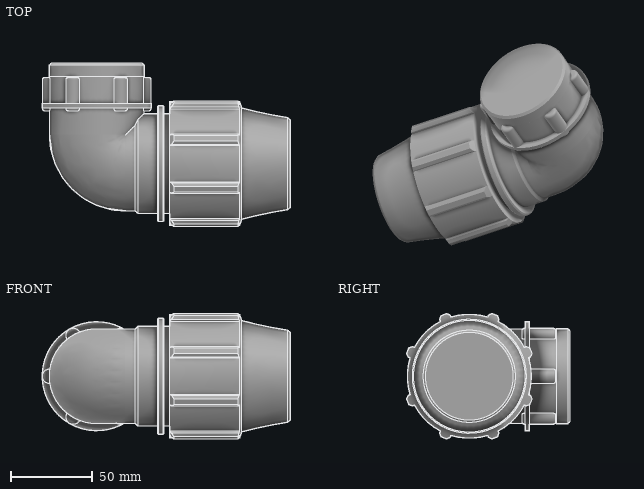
import cadquery as cq
import math


pipe_radius = 58.3 / 2
bend_radius = 17.7

socket_end = 61.9
rim_radius = 29.3
rim_start = 53.5
rim_chamfer = 1.4
rim_back_chamfer = rim_radius - pipe_radius
socket_flange_radius = 67.1 / 2
socket_flange_start = 34.3
socket_flange_width = 2.6
lug_count = 6
lug_radius = 4.4
lug_reach = 33.4
lug_circle_radius = lug_reach - lug_radius
lug_start = 32.3
lug_end = 53.1
lug_fillet = 1.5

body_radius = 61.5 / 2
body_start = 23.6
body_chamfer = body_radius - pipe_radius
collar_radius = 71.4 / 2
collar_start = 37.2
collar_width = 4.3
collar_chamfer = 0.8

nut_radius = 38.1
nut_start = 44.8
nut_end = 88.9
nut_chamfer_length = 1.0
nut_shoulder_radius = 35.1
tail_end = 119.0
tail_start_radius = 34.3
tail_middle_radius = 31.0
tail_end_radius = 28.4
tail_chamfer_length = 1.7
tail_chamfer_depth = 1.4

rib_count = 8
rib_radius = 41.0
rib_top_width = 3.8
rib_width = 7.0
rib_flank_radius = 39.2
rib_root_radius = 36.6
rib_front_ramp = 2.6


def cylinder_x(radius, start, end):
    return cq.Workplane("YZ", origin=(start, 0, 0)).circle(radius).extrude(end - start)


def cylinder_y(radius, start, end):
    return cq.Workplane("XZ", origin=(0, start, 0)).circle(radius).extrude(start - end)


def make_bend():
    """Quarter-turn bend; the pipe section is cut off at the bend axis."""
    chord_half = math.sqrt(pipe_radius**2 - bend_radius**2)
    section = (
        cq.Workplane("YZ", origin=(bend_radius, 0, 0))
        .moveTo(bend_radius, -chord_half)
        .threePointArc((-pipe_radius, 0), (bend_radius, chord_half))
        .close()
    )
    return section.revolve(90, (bend_radius, 0, 0), (bend_radius, -1, 0))


def make_socket():
    pipe = cylinder_y(pipe_radius, bend_radius, socket_end - rim_chamfer)
    rim = (
        cylinder_y(rim_radius, rim_start, socket_end)
        .faces(">Y").chamfer(rim_chamfer)
        .faces("<Y").chamfer(rim_back_chamfer)
    )
    flange = cylinder_y(
        socket_flange_radius, socket_flange_start, socket_flange_start + socket_flange_width
    )
    socket = pipe.union(rim).union(flange)
    lug = (
        cylinder_y(lug_radius, lug_start, lug_end)
        .edges("%CIRCLE").fillet(lug_fillet)
        .translate((lug_circle_radius, 0, 0))
    )
    for i in range(lug_count):
        socket = socket.union(lug.rotate((0, 0, 0), (0, 1, 0), i * 360 / lug_count))
    return socket


def make_body():
    pipe = cylinder_x(pipe_radius, bend_radius, nut_start)
    body = cylinder_x(body_radius, body_start, nut_start).faces("<X").chamfer(body_chamfer)
    collar = (
        cylinder_x(collar_radius, collar_start, collar_start + collar_width)
        .faces("<X or >X").chamfer(collar_chamfer)
    )
    return pipe.union(body).union(collar)


def make_rib():
    """One nut rib on the +Z side, as a plain bar along the whole nut."""
    return (
        cq.Workplane("YZ", origin=(nut_start, 0, 0))
        .polyline([
            (-rib_width / 2, rib_root_radius),
            (rib_width / 2, rib_root_radius),
            (rib_width / 2, rib_flank_radius),
            (rib_top_width / 2, rib_radius),
            (-rib_top_width / 2, rib_radius),
            (-rib_width / 2, rib_flank_radius),
        ])
        .close()
        .extrude(nut_end - nut_start)
    )


def make_nut():
    """Ribbed barrel whose rib ends and back corner are trimmed by shared cones."""
    nut = cylinder_x(nut_radius, nut_start, nut_end)
    rib = make_rib()
    rib_pitch = 360 / rib_count
    for i in range(rib_count):
        nut = nut.union(rib.rotate((0, 0, 0), (1, 0, 0), (i + 0.5) * rib_pitch))

    envelope_radius = rib_radius + rib_top_width
    front_slope = (rib_radius - nut_radius) / rib_front_ramp
    back_slope = (nut_radius - nut_shoulder_radius) / nut_chamfer_length
    front_ramp = (envelope_radius - nut_radius) / front_slope
    back_ramp = (envelope_radius - nut_shoulder_radius) / back_slope
    envelope = (
        cq.Workplane("XY")
        .polyline([
            (nut_start, 0),
            (nut_start, nut_radius),
            (nut_start + front_ramp, envelope_radius),
            (nut_end - back_ramp, envelope_radius),
            (nut_end, nut_shoulder_radius),
            (nut_end, 0),
        ])
        .close()
        .revolve(360, (0, 0, 0), (1, 0, 0))
    )
    return nut.intersect(envelope)


def make_tail():
    """Tapered tail behind the nut, revolved about the X axis."""
    tail_edge = tail_end - tail_chamfer_length
    tail_middle = (nut_end + tail_edge) / 2
    return (
        cq.Workplane("XY")
        .moveTo(nut_end, 0)
        .lineTo(nut_end, tail_start_radius)
        .threePointArc((tail_middle, tail_middle_radius), (tail_edge, tail_end_radius))
        .lineTo(tail_end, tail_end_radius - tail_chamfer_depth)
        .lineTo(tail_end, 0)
        .close()
        .revolve(360, (0, 0, 0), (1, 0, 0))
    )


result = make_socket().union(make_bend()).union(make_body()).union(make_nut()).union(make_tail())